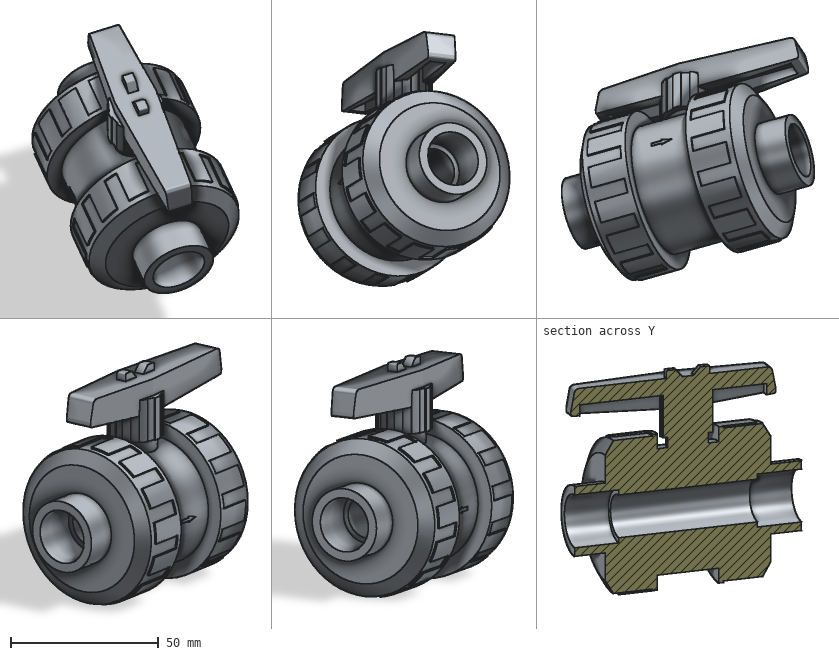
import cadquery as cq
import math


pipe_half_length = 41.2
pipe_diameter = 24.95
bore_diameter = 15.0
socket_diameter = 18.6

body_diameter = 45.0

nut_inner_face = 11.1
nut_cone_start = 27.1
nut_outer_face = 30.1
nut_diameter = 54.35
nut_face_diameter = 44.55
socket_depth = 16.0

grip_diameter = 55.5
grip_outer_end = 25.0
notch_inner_end = 12.9
grip_count = 14
grip_pitch = 360 / grip_count
notch_angle = 0.4 * grip_pitch
first_grip_angle = 4.9

arrow_half_length = 3.7
arrow_shaft_half_width = 0.6
arrow_head_half_width = 1.1
arrow_height = 0.2

neck_diameter = 15.0
hub_diameter = 19.1
hub_valley_diameter = 18.1
hub_bottom = 26.0
hub_top = 40.95
hub_ridge_count = 10
hub_ridge_angle = 360 / hub_ridge_count / 2

handle_top = 47.0
handle_end_bottom = 37.3
handle_middle_bottom = 34.75
handle_left_end = -31.9
handle_right_end = 42.55
handle_end_lean = 1.5
handle_lean_start = 39.1
handle_middle_half_width = 7.45
handle_side_slope = 0.07
handle_draft_angle = 1.2
handle_top_radius = 2.0
handle_bottom_radius = 0.8

hollow_half_width = 2.9
hollow_end_wall = 3.35

tab_top = 49.75
tab_inner_end = 1.9
tab_slope_end = 4.4
tab_outer_end = 7.95
tab_width = 3.7
tab_edge_radius = 0.6


def x_cylinder(diameter, start, end):
    return cq.Workplane("YZ", origin=(start, 0, 0)).circle(diameter / 2).extrude(end - start)


def z_cylinder(diameter, bottom, top):
    return cq.Workplane("XY", origin=(0, 0, bottom)).circle(diameter / 2).extrude(top - bottom)


def wedge(plane, origin, reach, angle, length):
    """Triangular prism on the workplane with its apex at the origin, centred on the local x axis."""
    half_base = reach * math.tan(math.radians(angle / 2))
    return (
        cq.Workplane(plane, origin=origin)
        .polyline([(0, 0), (reach, -half_base), (reach, half_base)])
        .close()
        .extrude(length)
    )


def make_nut():
    """Union nut on the -X side."""
    nut = (
        cq.Workplane("XY")
        .polyline(
            [
                (-nut_inner_face, 0),
                (-nut_inner_face, nut_diameter / 2),
                (-nut_cone_start, nut_diameter / 2),
                (-nut_outer_face, nut_face_diameter / 2),
                (-nut_outer_face, 0),
            ]
        )
        .close()
        .revolve(360, (0, 0, 0), (1, 0, 0))
    )
    band = x_cylinder(grip_diameter, -grip_outer_end, -nut_inner_face)
    notch_length = grip_outer_end - notch_inner_end
    notch = wedge("YZ", (-grip_outer_end, 0, 0), grip_diameter, notch_angle, notch_length)
    for index in range(grip_count):
        turn = (index + 0.5) * grip_pitch - first_grip_angle
        band = band.cut(notch.rotate((0, 0, 0), (1, 0, 0), turn))
    return nut.union(band)


def make_arrow():
    """Raised flow arrow pointing toward +X, on the -Y and +Y sides of the body."""
    raised_diameter = body_diameter + 2 * arrow_height
    outline = (
        cq.Workplane("XZ")
        .polyline(
            [
                (-arrow_half_length, -arrow_shaft_half_width),
                (0, -arrow_shaft_half_width),
                (0, -arrow_head_half_width),
                (arrow_half_length, 0),
                (0, arrow_head_half_width),
                (0, arrow_shaft_half_width),
                (-arrow_half_length, arrow_shaft_half_width),
            ]
        )
        .close()
        .extrude(raised_diameter / 2, both=True)
    )
    return outline.intersect(x_cylinder(raised_diameter, -arrow_half_length, arrow_half_length))


def make_hub():
    """Fluted hub: a core with evenly spaced ridges, one of them on each side along Y."""
    hub = z_cylinder(hub_valley_diameter, hub_bottom, hub_top)
    ridge = wedge("XY", (0, 0, hub_bottom), hub_diameter, hub_ridge_angle, hub_top - hub_bottom).intersect(
        z_cylinder(hub_diameter, hub_bottom, hub_top)
    )
    for index in range(hub_ridge_count):
        turn = 90 + index * 360 / hub_ridge_count
        hub = hub.union(ridge.rotate((0, 0, 0), (0, 0, 1), turn))
    return hub


def make_handle():
    """Tapered lever: a side profile trimmed by a drafted diamond plan, hollow underneath."""
    profile = (
        cq.Workplane("XZ")
        .polyline(
            [
                (handle_left_end + handle_end_lean, handle_top),
                (handle_right_end - handle_end_lean, handle_top),
                (handle_right_end, handle_lean_start),
                (handle_right_end, handle_end_bottom),
                (0, handle_middle_bottom),
                (handle_left_end, handle_end_bottom),
                (handle_left_end, handle_lean_start),
            ]
        )
        .close()
        .extrude(handle_middle_half_width, both=True)
    )
    profile = profile.faces(">Z").edges("|Y").fillet(handle_top_radius)
    profile = profile.faces("<X or >X").edges("|Y and <Z").fillet(handle_bottom_radius)
    tip = handle_middle_half_width / handle_side_slope
    plan = (
        cq.Workplane("XY", origin=(0, 0, handle_top))
        .polyline([(-tip, 0), (0, -handle_middle_half_width), (tip, 0), (0, handle_middle_half_width)])
        .close()
        .extrude(handle_middle_bottom - handle_top, taper=handle_draft_angle)
    )
    hollow_start = handle_left_end + hollow_end_wall
    hollow_end = handle_right_end - hollow_end_wall
    hollow = cq.Workplane("XY").box(
        hollow_end - hollow_start, 2 * hollow_half_width, hub_top, centered=(False, True, False)
    )
    return profile.intersect(plan).cut(hollow.translate((hollow_start, 0, 0)))


def make_tab():
    """Pointer tab on the +X side, sloped toward the stem axis."""
    return (
        cq.Workplane("XZ", origin=(0, tab_width / 2, 0))
        .polyline(
            [
                (tab_inner_end, handle_top),
                (tab_slope_end, tab_top),
                (tab_outer_end, tab_top),
                (tab_outer_end, handle_top),
            ]
        )
        .close()
        .extrude(tab_width)
        .faces(">Z")
        .edges("|Y")
        .fillet(tab_edge_radius)
    )


nut = make_nut()
tab = make_tab()

result = (
    x_cylinder(pipe_diameter, -pipe_half_length, pipe_half_length)
    .union(x_cylinder(body_diameter, -nut_inner_face, nut_inner_face))
    .union(nut)
    .union(nut.rotate((0, 0, 0), (0, 0, 1), 180))
    .union(make_arrow())
    .union(z_cylinder(neck_diameter, 0, hub_bottom))
    .union(make_handle())
    .union(make_hub())
    .union(tab)
    .union(tab.mirror("YZ"))
    .cut(x_cylinder(bore_diameter, -pipe_half_length, pipe_half_length))
    .cut(x_cylinder(socket_diameter, -pipe_half_length, socket_depth - pipe_half_length))
    .cut(x_cylinder(socket_diameter, pipe_half_length - socket_depth, pipe_half_length))
)